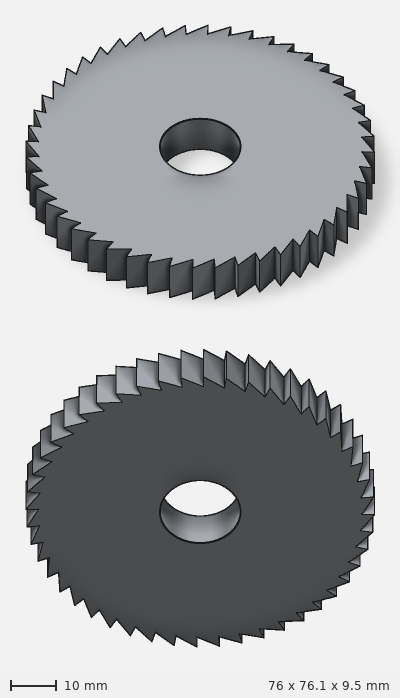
import cadquery as cq
import math

overall_width = 76.05
thickness = 9.5
bore_diameter = 17.5
bore_chamfer = 0.15
tooth_count = 48
tooth_depth = 2.7

tooth_pitch = 2 * math.pi / tooth_count
tip_radius = overall_width / 2 / math.cos(tooth_pitch / 2)
root_radius = tip_radius - tooth_depth


def polar_point(radius, angle):
    return (radius * math.cos(angle), radius * math.sin(angle))


def tooth_outline():
    """Closed outline of straight radial tooth faces joined by sloping tooth backs."""
    points = []
    for tooth in range(tooth_count):
        angle = (tooth + 0.5) * tooth_pitch
        points.append(polar_point(root_radius, angle))
        points.append(polar_point(tip_radius, angle))
    return points


def make_blade():
    return cq.Workplane("XY").polyline(tooth_outline()).close().extrude(thickness)


def make_bore_cutter():
    """Solid that removes the bore together with the small chamfer at each of its ends."""
    bore_radius = bore_diameter / 2
    mouth_radius = bore_radius + bore_chamfer
    half_profile = [
        (0, 0),
        (mouth_radius, 0),
        (bore_radius, bore_chamfer),
        (bore_radius, thickness - bore_chamfer),
        (mouth_radius, thickness),
        (0, thickness),
    ]
    return cq.Workplane("XZ").polyline(half_profile).close().revolve(360, (0, 0), (0, 1))


result = make_blade().cut(make_bore_cutter())